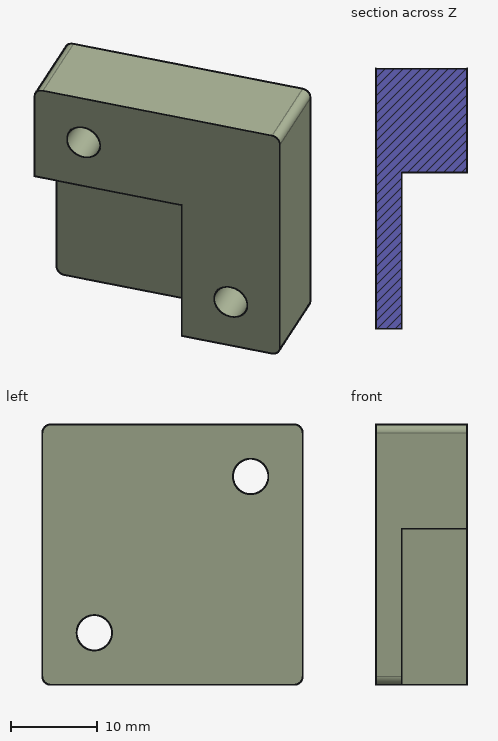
import cadquery as cq

side = 30.0
depth = 10.5
corner_radius = 1.0

plate_thickness = 3.0
arm_width = 12.0
notch_side = side - arm_width

hole_diameter = 4.05
hole_offset = side / 2 - arm_width / 2

block = (
    cq.Workplane("YZ")
    .rect(side, side)
    .extrude(depth)
    .edges("|X")
    .fillet(corner_radius)
)

notch_center = (notch_side - side) / 2
notch = (
    cq.Workplane("YZ", origin=(plate_thickness, 0, 0))
    .center(notch_center, notch_center)
    .rect(notch_side, notch_side)
    .extrude(depth - plate_thickness)
)

holes = (
    cq.Workplane("YZ")
    .pushPoints([(-hole_offset, hole_offset), (hole_offset, -hole_offset)])
    .circle(hole_diameter / 2)
    .extrude(depth)
)

result = block.cut(notch).cut(holes)